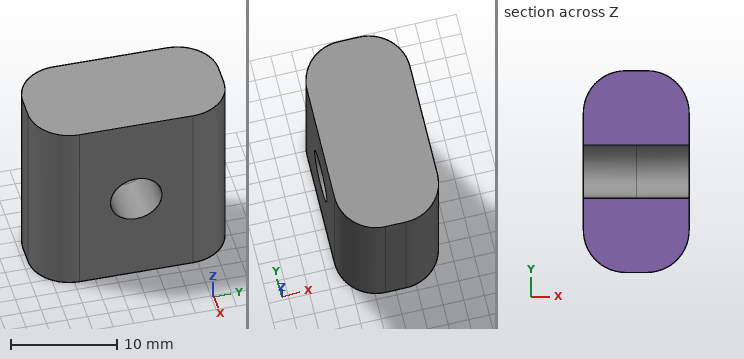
import cadquery as cq

width = 10.0
length = 19.05
height = 18.5

corner_radius = 4.0
hole_diameter = 5.0


def rounded_block():
    """Upright block, centred on the origin, with its four vertical edges rounded."""
    block = cq.Workplane("XY").box(width, length, height)
    return block.edges("|Z").fillet(corner_radius)


def cross_hole():
    """Cylinder along X through the middle of the two broad faces."""
    hole = cq.Workplane("YZ").circle(hole_diameter / 2)
    return hole.extrude(width / 2, both=True)


result = rounded_block().cut(cross_hole())